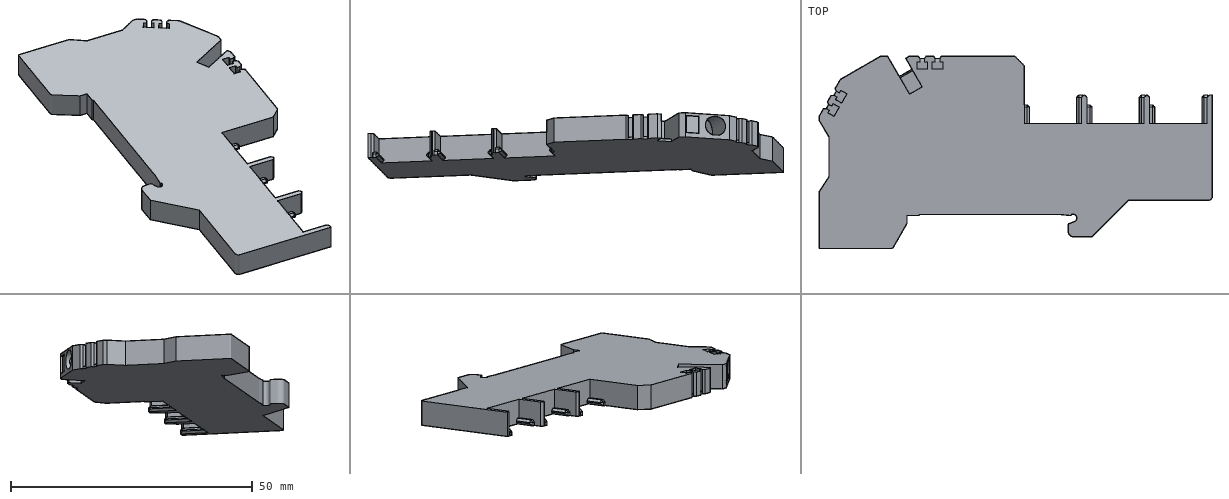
import cadquery as cq
import math

length = 81.5
height = 39.9
thickness = 5.1

foot_length = 15.2
foot_corner_radius = 0.25
foot_toe_radius = 0.65
rail_stop_x = 18.25
rail_stop_y = 5.3
rail_seat_y = 7.1
rail_pad_y = 6.85
rail_pad_width = 2.4
rail_pad_rise = rail_seat_y - rail_pad_y
rail_seat_end = 49.7
hook_left = 51.6
hook_right = 56.6
hook_bottom = 2.45
hook_lip_y = 5.1
hook_radius = 1.2
hook_lip_radius = 0.3
hook_gap_start = 52.2
hook_gap_right = 53.4
hook_gap_mid_y = 6.4
hook_neck_x = 53.05
hook_neck_y = 5.7
relief_width = 0.2
arm_bottom = 10.0
arm_start = 64.1
arm_corner_radius = 0.8
arm_top = 26.0

head_right = 42.55
head_chamfer = 2.0
waist_depth = 2.0
waist_bottom = 14.9
waist_top = 23.15
waist_lower_corner = 11.8
waist_upper_corner = 26.6
side_facet_start = 27.5
side_facet_angle = 60
roof_end_x = 12.8
roof_angle = 30

slot_mouth_left = 14.2
slot_end_angle = 30
slot_width = 3.0
slot_length = 9.1
slot_floor_length = 4.2
slot_tip_run = 1.1
slot_tip_drop = 0.5
slot_overrun = 4.1

grooves_per_edge = 2
groove_pitch = 3.2
groove_mouth_width = 1.6
groove_mouth_depth = 0.5
groove_neck_width = 1.0
groove_cavity_top = 1.2
groove_cavity_width = 2.2
groove_cavity_depth = 1.5
side_groove_offset = 2.6
top_groove_x = 21.35

web_thickness = 0.65
web_edge_drop = 0.2
slot_web_slope = 0.3

wire_hole_length = 4.4
wire_hole_width = 3.9
wire_hole_offset = 6.6
wire_hole_z = 2.8
wire_hole_end_x = 9.4
pocket_length = 2.8
pocket_width = 3.6
pocket_depth = 0.4
pocket_offset = 1.6
pocket_z = 2.8

fin_count = 3
fin_pitch = (length - head_right) / fin_count
fin_thickness = 1.15
fin_top = 31.9
fin_corner = 0.5
rib_width = 1.1
rib_height = 1.2
rib_chamfer = 0.5
short_rib_top = 29.8
rib_root = 0.2


def tan_deg(angle):
    return math.tan(math.radians(angle))


roof_slope = tan_deg(roof_angle)
side_slope = tan_deg(side_facet_angle)
roof_at_zero = height - roof_slope * roof_end_x
eave_x = (roof_at_zero - side_facet_start) / (side_slope - roof_slope)
eave_y = side_facet_start + side_slope * eave_x


def local_plane(x, y, angle):
    """Plane at the bottom face with local x along the given edge direction."""
    direction = (math.cos(math.radians(angle)), math.sin(math.radians(angle)), 0)
    return cq.Plane(origin=(x, y, 0), xDir=direction, normal=(0, 0, 1))


def make_body():
    outline = (
        cq.Workplane("XY")
        .moveTo(0, 0)
        .lineTo(foot_length, 0)
        .lineTo(rail_stop_x, rail_stop_y)
        .lineTo(rail_stop_x, rail_pad_y)
        .lineTo(rail_stop_x + rail_pad_width, rail_pad_y)
        .lineTo(rail_stop_x + rail_pad_width + rail_pad_rise, rail_seat_y)
        .lineTo(rail_seat_end, rail_seat_y)
        .lineTo(hook_gap_start, rail_pad_y)
        .lineTo(hook_gap_start + relief_width, rail_seat_y)
        .threePointArc((hook_gap_right, hook_gap_mid_y), (hook_neck_x, hook_neck_y))
        .lineTo(hook_left, hook_lip_y)
        .lineTo(hook_left, hook_bottom)
        .lineTo(hook_right, hook_bottom)
        .lineTo(arm_start, arm_bottom)
        .lineTo(length, arm_bottom)
        .lineTo(length, arm_top)
        .lineTo(head_right, arm_top)
        .lineTo(head_right, height - head_chamfer)
        .lineTo(head_right - head_chamfer, height)
        .lineTo(roof_end_x, height)
        .lineTo(eave_x, eave_y)
        .lineTo(0, side_facet_start)
        .lineTo(0, waist_upper_corner)
        .lineTo(waist_depth, waist_top)
        .lineTo(waist_depth, waist_bottom)
        .lineTo(0, waist_lower_corner)
        .close()
    )
    body = outline.extrude(thickness)
    corners = [
        (0, 0, foot_corner_radius),
        (foot_length, 0, foot_toe_radius),
        (hook_left, hook_bottom, hook_radius),
        (hook_left, hook_lip_y, hook_lip_radius),
        (length, arm_bottom, arm_corner_radius),
    ]
    for x, y, radius in corners:
        corner = cq.selectors.NearestToPointSelector((x, y, thickness / 2))
        body = body.edges("|Z").edges(corner).fillet(radius)
    return body


def block(plane, x_range, y_range, z_range):
    """Box between the given local limits."""
    x0, x1 = x_range
    y0, y1 = y_range
    z0, z1 = z_range
    base = cq.Workplane(plane).workplane(offset=z0)
    return base.moveTo(x0, y0).lineTo(x1, y0).lineTo(x1, y1).lineTo(x0, y1).close().extrude(z1 - z0)


def sloped_web_cut(plane, x_range, outer_y, inner_y):
    """Cut above a web whose top slopes down from inner_y to outer_y."""
    x0, x1 = x_range
    side_plane = cq.Plane(plane.toWorldCoords((x0, 0, 0)), xDir=plane.yDir, normal=plane.xDir)
    profile = (
        cq.Workplane(side_plane)
        .moveTo(inner_y, web_thickness)
        .lineTo(outer_y, web_thickness - web_edge_drop)
        .lineTo(outer_y, thickness)
        .lineTo(inner_y, thickness)
        .close()
    )
    return profile.extrude(x1 - x0)


def cut_groove(body, plane):
    """Marker groove entering an edge along local -y."""
    half_mouth = groove_mouth_width / 2
    half_neck = groove_neck_width / 2
    half_cavity = groove_cavity_width / 2
    mouth = (
        cq.Workplane(plane)
        .moveTo(-half_mouth, 0)
        .lineTo(half_mouth, 0)
        .lineTo(half_neck, -groove_mouth_depth)
        .lineTo(-half_neck, -groove_mouth_depth)
        .close()
        .extrude(thickness)
    )
    neck = sloped_web_cut(plane, (-half_neck, half_neck), -groove_mouth_depth, -groove_cavity_top)
    cavity_bottom = groove_cavity_top + groove_cavity_depth
    cavity = block(
        plane,
        (-half_cavity, half_cavity),
        (-cavity_bottom, -groove_cavity_top),
        (web_thickness, thickness),
    )
    return body.cut(mouth).cut(neck).cut(cavity)


def cut_slot(body):
    """Inclined slot, open through the part except for the web at its inner end."""
    plane = local_plane(slot_mouth_left, height, slot_end_angle)
    across = (0, slot_width)
    web_edge = slot_floor_length - slot_length
    web_flat = web_edge - slot_web_slope
    body = body.cut(block(plane, across, (web_edge, slot_overrun), (0, thickness)))
    body = body.cut(sloped_web_cut(plane, across, web_edge, web_flat))
    body = body.cut(block(plane, across, (-slot_length, web_flat), (web_thickness, thickness)))
    tip_x = slot_mouth_left + slot_width / math.cos(math.radians(slot_end_angle))
    tip = (
        cq.Workplane("XY")
        .moveTo(tip_x, height)
        .lineTo(tip_x + slot_tip_run, height)
        .lineTo(tip_x + slot_tip_drop * tan_deg(slot_end_angle), height - slot_tip_drop)
        .lineTo(tip_x, height - slot_tip_drop)
        .close()
        .extrude(thickness)
    )
    return body.cut(tip)


def cut_roof_features(body):
    """Wire entry hole and shallow marker pocket, placed back from the top end of the roof face."""
    plane = cq.Plane(
        origin=(roof_end_x, height, 0),
        xDir=(math.cos(math.radians(roof_angle)), math.sin(math.radians(roof_angle)), 0),
        normal=(-math.sin(math.radians(roof_angle)), math.cos(math.radians(roof_angle)), 0),
    )
    face = cq.Workplane(plane)
    hole = (
        face.center(-wire_hole_offset, -wire_hole_z)
        .slot2D(wire_hole_length, wire_hole_width)
        .extrude(-height / 2)
        .intersect(block(cq.Plane.XY(), (0, wire_hole_end_x), (0, height), (0, thickness)))
    )
    pocket = face.center(-pocket_offset, -pocket_z).rect(pocket_length, pocket_width).extrude(-pocket_depth)
    return body.cut(hole).cut(pocket)


def make_fin(right_x, is_last):
    left_x = right_x - fin_thickness
    fin = block(cq.Plane.XY(), (left_x, right_x), (arm_top - rib_root, fin_top), (0, thickness))
    corners = "|Z and >Y and <X" if is_last else "|Z and >Y"
    return fin.edges(corners).chamfer(fin_corner)


def make_rib(wall_x, side, top):
    """Guide rib on a wall; side is -1 or 1 for the direction it points along X."""
    root_x = wall_x - side * rib_root
    outer_x = wall_x + side * rib_width
    x_range = (min(root_x, outer_x), max(root_x, outer_x))
    rib = block(cq.Plane.XY(), x_range, (arm_top - rib_root, top), (0, rib_height))
    outer = ">X" if side > 0 else "<X"
    return rib.edges(f"({outer} and (not <Y)) or (>Z and >Y)").chamfer(rib_chamfer)


result = make_body()
result = cut_slot(result)
for step in range(grooves_per_edge):
    result = cut_groove(result, local_plane(top_groove_x + step * groove_pitch, height, 0))
    along = side_groove_offset + step * groove_pitch
    groove_x = along * math.cos(math.radians(side_facet_angle))
    groove_y = side_facet_start + along * math.sin(math.radians(side_facet_angle))
    result = cut_groove(result, local_plane(groove_x, groove_y, side_facet_angle))
result = cut_roof_features(result)
for index in range(fin_count):
    wall_x = head_right + index * fin_pitch
    fin_right = wall_x + fin_pitch
    result = result.union(make_fin(fin_right, index == fin_count - 1))
    result = result.union(make_rib(fin_right - fin_thickness, -1, fin_top))
    result = result.union(make_rib(wall_x, 1, short_rib_top))